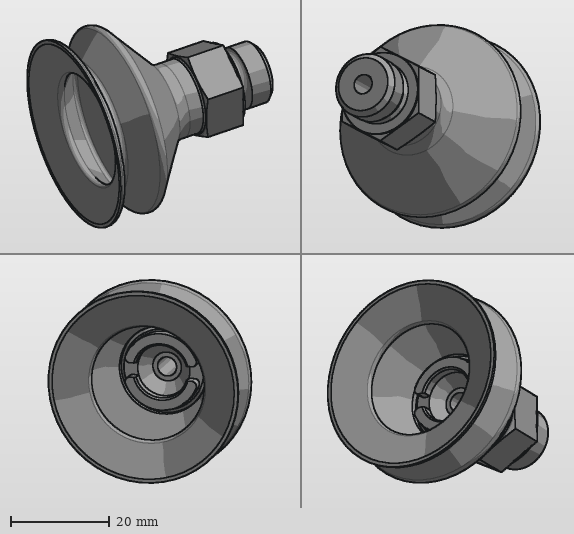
import cadquery as cq
import math

total_length = 43.0

lip_radius = 40.0 / 2
lip_edge_width = 0.45
lip_cone_radius = 19.5
lip_cone_y = 1.15
lip_round_bow = 0.15
waist_edge_radius = 14.65
waist_radius = 14.4
waist_start_y = 3.22
waist_end_y = 4.47
bulge_radius = 40.08 / 2
bulge_edge_radius = 19.7
bulge_start_y = 9.1
bulge_end_y = 10.85
shoulder_radius = 9.25
shoulder_y = 19.4
collar_radius = 16.0 / 2
collar_start_y = 22.45

mouth_radius = 38.4 / 2
throat_edge_radius = 12.35
throat_radius = 11.9
throat_start_y = 2.9
throat_end_y = 4.45
pocket_edge_radius = 16.75
pocket_radius = 17.03
pocket_start_y = 8.77
pocket_end_y = 9.9
boss_radius = 9.2
boss_recess_y = 15.1
boss_edge_radius = 0.77
floor_y = 15.7

hex_flats = 17.05
hex_start_y = 25.97
hex_end_y = 34.55
hex_chamfer_angle = 15.0
washer_radius = 17.0 / 2
washer_bevel = 0.25
washer_end_y = 34.95
collar_end_y = 25.55
neck_foot_radius = 6.4
neck_end_radius = 5.68
neck_waist_radius = 5.55
neck_start_y = 35.7
neck_waist_y = 36.65
stem_radius = 13.15 / 2
stem_start_y = 37.65
stem_chamfer = 1.08

bore_radius = 4.0 / 2
step_radius = 6.0 / 2
funnel_radius = 11.0 / 2
funnel_depth = funnel_radius - step_radius

pad_outer_radius = 16.0 / 2
pad_inner_radius = funnel_radius
pad_mouth_radius = 5.9
pad_bevel_depth = 0.4
pad_height = 2.35
pad_gap = 3.0
pad_corner_radius = 1.05


def revolve_about_y(profile):
    return profile.close().revolve(360, (0, 0, 0), (0, 1, 0))


def middle(a, b):
    return (a + b) / 2


def make_outer_body():
    """Solid envelope of the bellows, collar, washer, neck and stem."""
    profile = (
        cq.Workplane("XY")
        .lineTo(lip_radius, 0)
        .lineTo(lip_radius, lip_edge_width)
        .threePointArc(
            (middle(lip_radius, lip_cone_radius) + lip_round_bow, middle(lip_edge_width, lip_cone_y)),
            (lip_cone_radius, lip_cone_y),
        )
        .lineTo(waist_edge_radius, waist_start_y)
        .threePointArc((waist_radius, middle(waist_start_y, waist_end_y)), (waist_edge_radius, waist_end_y))
        .lineTo(bulge_edge_radius, bulge_start_y)
        .threePointArc((bulge_radius, middle(bulge_start_y, bulge_end_y)), (bulge_edge_radius, bulge_end_y))
        .lineTo(shoulder_radius, shoulder_y)
        .tangentArcPoint((collar_radius, collar_start_y), relative=False)
        .lineTo(collar_radius, collar_end_y)
        .lineTo(washer_radius - washer_bevel, hex_start_y)
        .lineTo(washer_radius, hex_start_y)
        .lineTo(washer_radius, washer_end_y)
        .lineTo(neck_foot_radius, washer_end_y)
        .lineTo(neck_end_radius, neck_start_y)
        .threePointArc((neck_waist_radius, neck_waist_y), (stem_radius, stem_start_y))
        .lineTo(stem_radius, total_length - stem_chamfer)
        .lineTo(stem_radius - stem_chamfer, total_length)
        .lineTo(0, total_length)
    )
    return revolve_about_y(profile)


def make_hexagon():
    """Hexagon with flats facing +X and -X, its corners turned off on the cup side."""
    corner_radius = hex_flats / 2 / math.cos(math.radians(30))
    hex_length = hex_end_y - hex_start_y
    hexagon = (
        cq.Workplane("XZ", origin=(0, hex_end_y, 0))
        .transformed(rotate=(0, 0, 30))
        .polygon(6, 2 * corner_radius)
        .extrude(hex_length)
    )
    chamfer_length = (corner_radius - washer_radius) * math.tan(math.radians(hex_chamfer_angle))
    turned_blank = revolve_about_y(
        cq.Workplane("XY")
        .moveTo(0, hex_start_y)
        .lineTo(washer_radius, hex_start_y)
        .lineTo(corner_radius, hex_start_y + chamfer_length)
        .lineTo(corner_radius, hex_end_y)
        .lineTo(0, hex_end_y)
    )
    return hexagon.intersect(turned_blank)


def make_cavity():
    """Bellows interior around a round-edged floor boss sunk below the cone, funnel and through bore."""
    funnel_end_y = floor_y + funnel_depth
    profile = (
        cq.Workplane("XY")
        .lineTo(mouth_radius, 0)
        .lineTo(throat_edge_radius, throat_start_y)
        .threePointArc((throat_radius, middle(throat_start_y, throat_end_y)), (throat_edge_radius, throat_end_y))
        .lineTo(pocket_edge_radius, pocket_start_y)
        .threePointArc((pocket_radius, middle(pocket_start_y, pocket_end_y)), (pocket_edge_radius, pocket_end_y))
        .lineTo(boss_radius, boss_recess_y)
        .lineTo(boss_radius, floor_y + boss_edge_radius)
        .radiusArc((boss_radius - boss_edge_radius, floor_y), -boss_edge_radius)
        .lineTo(funnel_radius, floor_y)
        .lineTo(step_radius, funnel_end_y)
        .lineTo(bore_radius, funnel_end_y)
        .lineTo(bore_radius, total_length)
        .lineTo(0, total_length)
    )
    return revolve_about_y(profile)


def make_pad(side):
    """One pad, on the +Z side (side = 1) or the -Z side (side = -1), bevelled along its inner edge."""
    end_z = pad_gap / 2
    top_y = floor_y - pad_height
    ring = revolve_about_y(
        cq.Workplane("XY")
        .moveTo(pad_inner_radius, floor_y)
        .lineTo(pad_inner_radius, top_y + pad_bevel_depth)
        .lineTo(pad_mouth_radius, top_y)
        .lineTo(pad_outer_radius, top_y)
        .lineTo(pad_outer_radius, floor_y)
    )
    half_space = cq.Workplane("XY", origin=(0, 0, end_z)).box(
        2 * pad_outer_radius, total_length, pad_outer_radius, centered=(True, False, False)
    )
    pad = ring.intersect(half_space)
    pad = pad.edges("|Y").edges("<X or >X").fillet(pad_corner_radius)
    if side < 0:
        pad = pad.mirror("XY")
    return pad


result = make_outer_body().union(make_hexagon()).cut(make_cavity())
for side in (1, -1):
    result = result.union(make_pad(side))